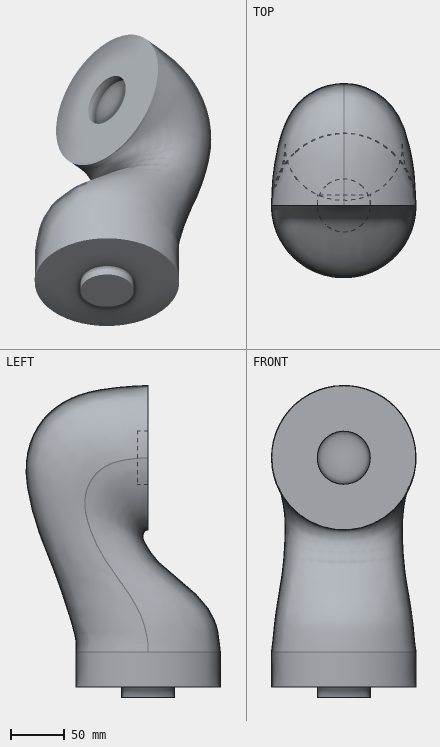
import cadquery as cq
import math

body_radius = 67.95
pin_radius = 25.0
pin_height = 10.0
ring_height = 33.0
total_height = 293.5

ring_top = pin_height + ring_height
face_center_z = total_height - body_radius
face_bottom_z = face_center_z - body_radius
socket_radius = pin_radius
socket_depth = pin_height

stations = [
    ((body_radius, ring_top), (-body_radius, ring_top), body_radius),
    ((71.0, 68.0), (-64.0, 68.0), 65.2),
    ((79.5, 94.8), (-47.3, 94.8), 61.3),
    ((91.0, 126.2), (-21.0, 117.0), 57.2),
    ((103.0, 157.3), (-5.3, 132.7), 55.5),
    ((111.5, 188.5), (2.0, 143.8), 55.2),
    ((111.2, 237.5), (4.7, 150.5), 58.7),
    ((83.0, 275.3), (4.0, 155.0), 63.7),
    ((41.7, 290.0), (2.3, 157.0), 67.0),
    ((20.5, 292.3), (1.2, 157.5), 67.5),
    ((0.0, total_height), (0.0, face_bottom_z), body_radius),
]


def link_section(back, front, half_width):
    """Elliptical wire spanning the chord from back to front, symmetric about X = 0."""
    chord_y = back[0] - front[0]
    chord_z = back[1] - front[1]
    center = cq.Vector(0, (back[0] + front[0]) / 2, (back[1] + front[1]) / 2)
    chord_direction = cq.Vector(0, chord_y, chord_z).normalized()
    across = cq.Vector(1, 0, 0)
    half_chord = math.hypot(chord_y, chord_z) / 2
    normal = across.cross(chord_direction)
    plane = cq.Plane(origin=center, xDir=chord_direction, normal=normal)
    return cq.Workplane(plane).ellipse(half_chord, half_width).wire().val()


def curved_link():
    """Smooth loft from the flange ring round to the vertical joint face at Y = 0."""
    sections = [link_section(*station) for station in stations]
    return cq.Workplane(cq.Solid.makeLoft(sections))


ring = cq.Workplane("XY").workplane(offset=pin_height).circle(body_radius).extrude(ring_height)
pin = cq.Workplane("XY").circle(pin_radius).extrude(ring_top)

socket = (
    cq.Workplane("XZ")
    .center(0, face_center_z)
    .circle(socket_radius)
    .extrude(-socket_depth)
)

result = curved_link().union(ring).union(pin).cut(socket)